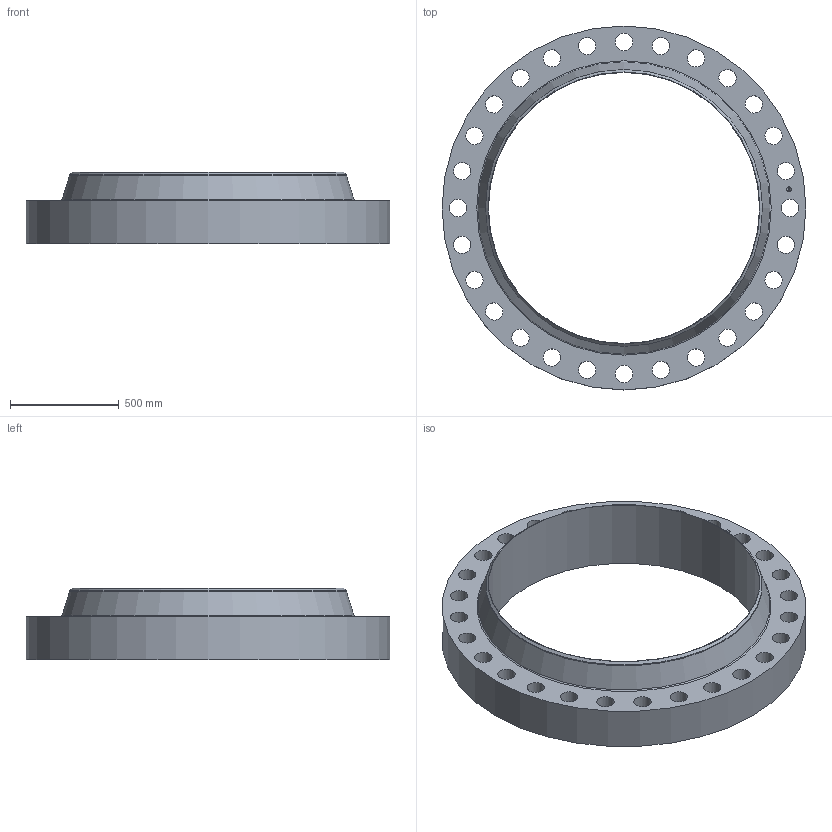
import cadquery as cq
import math

flange_diameter = 1670.0
flange_thickness = 198.0
bore_diameter = 1244.6

total_height = 328.68
hub_base_diameter = 1342.0
hub_top_diameter = 1270.0
hub_top_land_height = 5.0
bevel_height = 11.0
weld_land_width = 1.6
hub_root_fillet = 6.0

bolt_count = 28
bolt_circle_diameter = 1524.0
bolt_hole_diameter = 79.4

jack_hole_diameter = 10.0
jack_sink_diameter = 23.0
jack_hole_angle = 180.0 / bolt_count


def make_body():
    """Revolve the flange and hub section about Z, then round the hub root."""
    bore_radius = bore_diameter / 2
    flange_radius = flange_diameter / 2
    bevel_start = total_height - bevel_height
    section = (
        cq.Workplane("XZ")
        .moveTo(bore_radius, 0)
        .lineTo(flange_radius, 0)
        .lineTo(flange_radius, flange_thickness)
        .lineTo(hub_base_diameter / 2, flange_thickness)
        .lineTo(hub_top_diameter / 2, bevel_start - hub_top_land_height)
        .lineTo(hub_top_diameter / 2, bevel_start)
        .lineTo(bore_radius + weld_land_width, total_height)
        .lineTo(bore_radius, total_height)
        .close()
    )
    body = section.revolve(360, (0, 0, 0), (0, 1, 0))
    hub_root = cq.selectors.RadiusNthSelector(-2)
    return body.edges(hub_root).fillet(hub_root_fillet)


def make_bolt_holes():
    """Cylinders that pass through the flange, evenly spaced on the bolt circle."""
    return (
        cq.Workplane("XY")
        .polarArray(bolt_circle_diameter / 2, 0, 360, bolt_count)
        .circle(bolt_hole_diameter / 2)
        .extrude(flange_thickness)
    )


def make_jack_hole():
    """Countersunk through hole on the bolt circle, entered from the top face of the flange."""
    angle = math.radians(jack_hole_angle)
    radius = bolt_circle_diameter / 2
    hole_radius = jack_hole_diameter / 2
    sink_radius = jack_sink_diameter / 2
    sink_depth = sink_radius - hole_radius
    cutter = (
        cq.Workplane("XZ")
        .lineTo(hole_radius, 0)
        .lineTo(hole_radius, flange_thickness - sink_depth)
        .lineTo(sink_radius, flange_thickness)
        .lineTo(0, flange_thickness)
        .close()
        .revolve(360, (0, 0, 0), (0, 1, 0))
    )
    return cutter.translate((radius * math.cos(angle), radius * math.sin(angle), 0))


result = make_body().cut(make_bolt_holes()).cut(make_jack_hole())